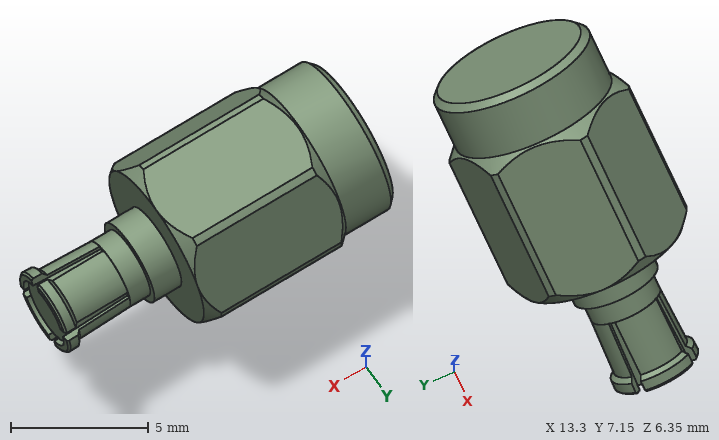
import cadquery as cq
import math

HEX_START = 2.2
HEX_END = 8.4
COLLAR_END = 9.57
SLOT_ROOT = 10.43
CORE_END = 13.13

BARREL_RADIUS = 3.115
BARREL_CHAMFER = 0.25

HEX_SIDES = 6
HEX_ACROSS_FLATS = 6.35
HEX_CORNER_RADIUS = 7.15 / 2
HEX_CHAMFER_LENGTH = 0.5

COLLAR_RADIUS = 1.675
SLEEVE_RADIUS = 1.39
CORE_RADIUS = 1.25

FINGER_COUNT = 4
FINGER_LENGTH = 2.857
FINGER_BEND = 2.0
FINGER_TURN = -22.0
FINGER_OVERLAP = 0.05
SLOT_WIDTH = 0.27
LIP_RADIUS = 1.585
LIP_LENGTH = 0.46
LIP_RAMP_LENGTH = 0.17
LIP_EDGE_CHAMFER = 0.08


def revolve_about_x(points):
    """Revolve a closed (x, radius) outline around the X axis."""
    return cq.Workplane("XY").polyline(points).close().revolve(360, (0, 0, 0), (1, 0, 0))


def make_barrel():
    return revolve_about_x([
        (0, 0),
        (0, BARREL_RADIUS - BARREL_CHAMFER),
        (BARREL_CHAMFER, BARREL_RADIUS),
        (HEX_START, BARREL_RADIUS),
        (HEX_START, 0),
    ])


def make_hex_nut():
    across_corners = HEX_ACROSS_FLATS / math.cos(math.pi / HEX_SIDES)
    prism = (
        cq.Workplane("YZ", origin=(HEX_START, 0, 0))
        .polygon(HEX_SIDES, across_corners)
        .extrude(HEX_END - HEX_START)
    )
    turned_envelope = revolve_about_x([
        (HEX_START, 0),
        (HEX_START, BARREL_RADIUS),
        (HEX_START + HEX_CHAMFER_LENGTH, HEX_CORNER_RADIUS),
        (HEX_END - HEX_CHAMFER_LENGTH, HEX_CORNER_RADIUS),
        (HEX_END, HEX_ACROSS_FLATS / 2),
        (HEX_END, 0),
    ])
    return prism.intersect(turned_envelope)


def make_collar_sleeve_and_core():
    return revolve_about_x([
        (HEX_END, 0),
        (HEX_END, COLLAR_RADIUS),
        (COLLAR_END, COLLAR_RADIUS),
        (COLLAR_END, SLEEVE_RADIUS),
        (SLOT_ROOT, SLEEVE_RADIUS),
        (SLOT_ROOT, CORE_RADIUS),
        (CORE_END, CORE_RADIUS),
        (CORE_END, 0),
    ])


def make_finger():
    """One finger centred on +Z, bent outward about its root."""
    start = SLOT_ROOT - FINGER_OVERLAP
    tip = SLOT_ROOT + FINGER_LENGTH
    lip_start = tip - LIP_LENGTH
    lip_ramp_start = lip_start - LIP_RAMP_LENGTH
    tube = revolve_about_x([
        (start, CORE_RADIUS),
        (start, SLEEVE_RADIUS),
        (lip_ramp_start, SLEEVE_RADIUS),
        (lip_start, LIP_RADIUS),
        (tip - LIP_EDGE_CHAMFER, LIP_RADIUS),
        (tip, LIP_RADIUS - LIP_EDGE_CHAMFER),
        (tip, CORE_RADIUS),
    ])

    sector_apex = SLOT_WIDTH / 2 * math.sqrt(2)
    sector_reach = 2 * LIP_RADIUS
    sector = (
        cq.Workplane("YZ", origin=(start, 0, 0))
        .polyline([
            (0, sector_apex),
            (sector_reach, sector_apex + sector_reach),
            (-sector_reach, sector_apex + sector_reach),
        ])
        .close()
        .extrude(tip - start)
    )
    hinge_start = (SLOT_ROOT, 0, SLEEVE_RADIUS)
    hinge_end = (SLOT_ROOT, 1, SLEEVE_RADIUS)
    return tube.intersect(sector).rotate(hinge_start, hinge_end, -FINGER_BEND)


result = make_barrel().union(make_hex_nut()).union(make_collar_sleeve_and_core())

finger = make_finger()
for index in range(FINGER_COUNT):
    angle = FINGER_TURN + index * 360 / FINGER_COUNT
    result = result.union(finger.rotate((0, 0, 0), (1, 0, 0), angle))